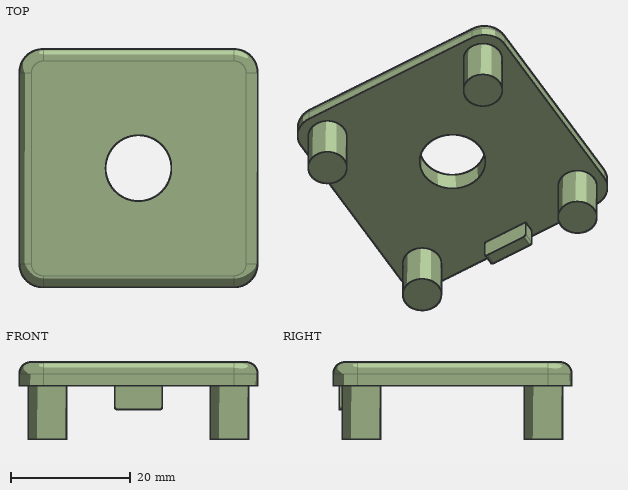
import cadquery as cq

plate_side = 40.0
plate_thickness = 4.0
corner_radius = 4.0
top_edge_radius = 2.0
hole_diameter = 11.0

overall_height = 13.0
leg_length = overall_height - plate_thickness
leg_diameter = 6.5
leg_edge_margin = 1.5
leg_offset = plate_side / 2 - leg_edge_margin - leg_diameter / 2

tab_width = 8.0
tab_height = 4.0
tab_thickness = 2.0
tab_edge_margin = 1.0
tab_corner_radius = 0.5


def make_plate():
    """Rounded square plate with its underside at Z = 0 and a central through hole."""
    plate = (
        cq.Workplane("XY")
        .rect(plate_side, plate_side)
        .extrude(plate_thickness)
        .edges("|Z")
        .fillet(corner_radius)
    )
    plate = plate.faces(">Z").edges().fillet(top_edge_radius)
    return plate.faces("<Z").workplane().hole(hole_diameter)


def make_legs():
    """Four cylinders hanging from the underside, one near each corner."""
    return (
        cq.Workplane("XY")
        .rect(2 * leg_offset, 2 * leg_offset, forConstruction=True)
        .vertices()
        .circle(leg_diameter / 2)
        .extrude(-leg_length)
    )


def make_tab():
    """Flat tab hanging from the underside, with its two lower corners rounded."""
    tab_center_y = -plate_side / 2 + tab_edge_margin + tab_thickness / 2
    tab = (
        cq.Workplane("XY")
        .center(0, tab_center_y)
        .rect(tab_width, tab_thickness)
        .extrude(-tab_height)
    )
    return tab.edges("|Y and <Z").fillet(tab_corner_radius)


result = make_plate().union(make_legs()).union(make_tab())